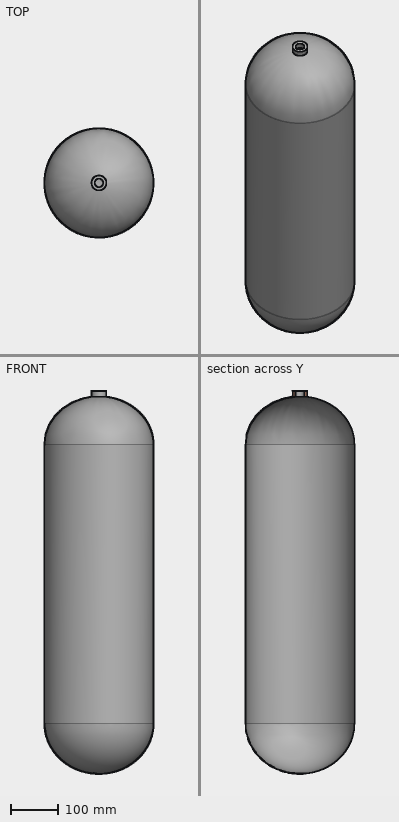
import cadquery as cq

total_height = 808.0
body_diameter = 231.0
cavity_diameter = 228.5
bottom_dome_height = 107.0
top_dome_height = 102.0
neck_height = 11.0
neck_diameter = 31.5
bore_diameter = 18.0

wall = (body_diameter - cavity_diameter) / 2
dome_top = total_height - neck_height
body_top = dome_top - top_dome_height


def domed_cylinder(inset):
    """Upright cylinder with half-ellipsoid ends, moved inward by inset on all sides."""
    radius = body_diameter / 2 - inset
    return (
        cq.Workplane("XZ")
        .moveTo(0, inset)
        .ellipseArc(radius, bottom_dome_height - inset, 270, 360, startAtCurrent=True)
        .lineTo(radius, body_top)
        .ellipseArc(radius, top_dome_height - inset, 0, 90, startAtCurrent=True)
        .close()
        .revolve(360, (0, 0, 0), (0, 1, 0))
    )


def top_cylinder(diameter):
    """Cylinder on the axis, from the top dome's base up to the top of the neck."""
    return (
        cq.Workplane("XY")
        .workplane(offset=body_top)
        .circle(diameter / 2)
        .extrude(total_height - body_top)
    )


vessel = domed_cylinder(0).union(top_cylinder(neck_diameter))

result = vessel.cut(domed_cylinder(wall)).cut(top_cylinder(bore_diameter))